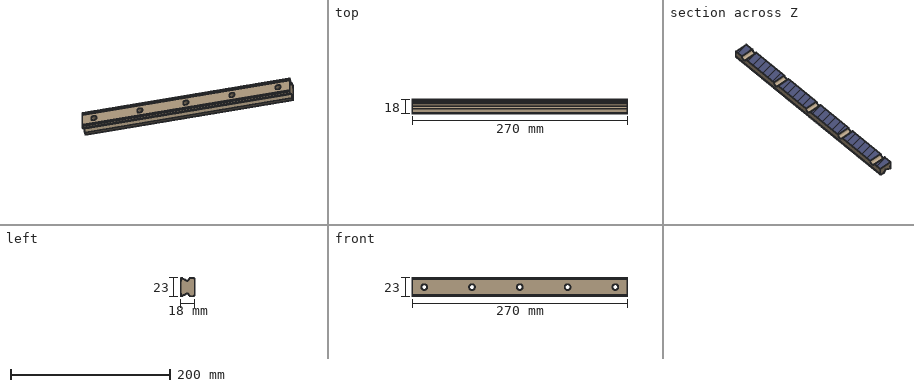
import cadquery as cq

length = 270.0
depth = 18.0
height = 23.0
half_height = height / 2

hole_diameter = 7.0
hole_count = 5
hole_pitch = 60.0

front_chamfer = 1.5
flange_depth = 6.5
groove_y = 9.5
groove_z = 7.5
ramp_y = 13.5
ramp_z = 10.0
land_end_y = 14.3
lip_start_y = 16.2
lip_corner = 1.0
relief_depth = 0.8
relief_top_z = 10.0
relief_floor_z = 8.6
relief_bottom_z = 7.5


def rail_section():
    """Upper half of the section in (Y, Z), closed along mid-height."""
    return (
        cq.Workplane("YZ", origin=(-length / 2, 0, 0))
        .lineTo(0, half_height - front_chamfer)
        .lineTo(front_chamfer, half_height)
        .lineTo(flange_depth, half_height)
        .lineTo(groove_y, groove_z)
        .lineTo(ramp_y, ramp_z)
        .lineTo(land_end_y, ramp_z)
        .lineTo(lip_start_y, half_height)
        .lineTo(depth - lip_corner, half_height)
        .radiusArc((depth, half_height - lip_corner), lip_corner)
        .lineTo(depth, relief_top_z)
        .lineTo(depth - relief_depth, relief_floor_z)
        .lineTo(depth, relief_bottom_z)
        .lineTo(depth, 0)
        .close()
    )


def mounting_holes():
    """Row of cylinders centred on the rail, passing through its depth."""
    return (
        cq.Workplane("XZ")
        .rarray(hole_pitch, 2.7, hole_count, 1)
        .circle(hole_diameter / 2)
        .extrude(-depth)
    )


upper_half = rail_section().extrude(length)
rail = upper_half.union(upper_half.mirror("XY")).clean()
result = rail.cut(mounting_holes())